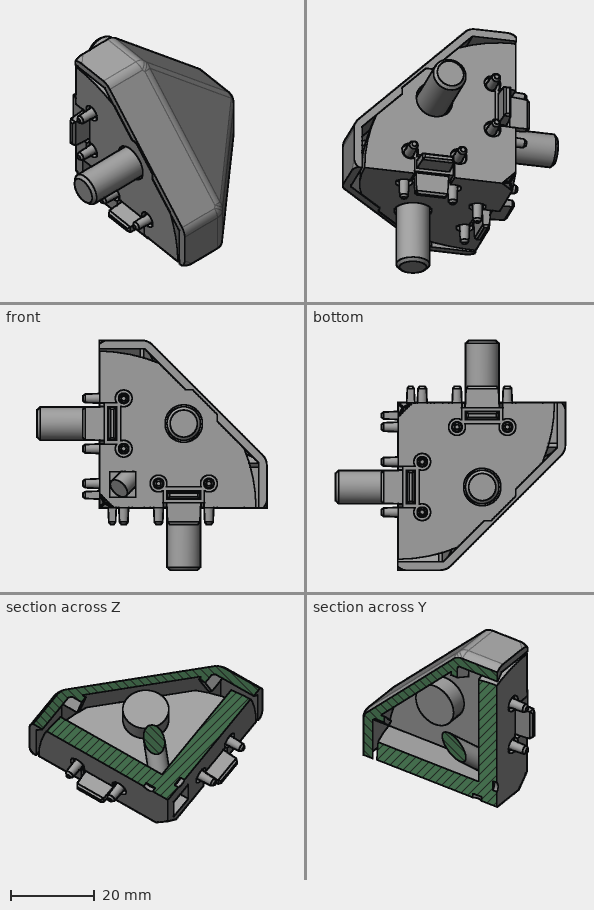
import cadquery as cq
import math

LEG = 40.0
SLOPE_SUM = 51.65
CORNER_SUM = 63.35
CAP_WALL = 2.0
EDGE_RADIUS = 3.4
TIP_RADIUS = 1.9
TIP_REACH = 1.7

BRACKET_WALL = 5.5
FACE_INSET = 0.1
BRACKET_RADIUS = 37.4
CORNER_CUT = 3.7

CORNER_GROOVE_WIDTH = 0.35
CORNER_GROOVE_LENGTH = 2.3
CORNER_GROOVE_DEPTH = 0.15

SHANK_DIAMETER = 8.0
BOLT_CENTRE = 20.15
BOLT_REACH = 14.8
BOLT_CHAMFER = 0.75
HEAD_DIAMETER = 10.95
HEAD_HEIGHT = 4.4
HOLE_DIAMETER = 8.95
PAD_HALF = SHANK_DIAMETER
PAD_SLOPE_SUM = 50.5

LUG_REACH = 3.9
LUG_TIP = 0.6
LUG_DRAFT = 2.5
LUG_TIP_DRAFT = 37
RECESS_DEPTH = 1.25
RECESS_LENGTH = 5.15
RECESS_WIDTH = 9.85
TAB_CENTRE = 3.1
TAB_THICKNESS = 2.1
TAB_WIDTH = 8.05
PEG_CENTRE = 5.85
PEG_SPACING = 12.0
PEG_DIAMETER = 2.45
PEG_RECESS_DIAMETER = 4.0

WINDOW_NEAR = 2.6
WINDOW_FAR = 8.7
PIN_DIAMETER = 5.0
PIN_START = 4.7

RIB_WIDTH = 1.3
RIB_INNER_SUM = 20.45
RIB_BOTTOM = 32.9

FAR = 2 * LEG
PAD_END = BOLT_CENTRE + PAD_HALF


def on_each_axis(shape):
    """The shape and its two copies turned about the space diagonal (X to Y to Z)."""
    return [shape.rotate((0, 0, 0), (1, 1, 1), turn) for turn in (0, 120, 240)]


def cube(low, high):
    """Axis-parallel cube from (low, low, low) to (high, high, high)."""
    size = high - low
    return cq.Workplane("XY").box(size, size, size, centered=False).translate((low, low, low))


def diagonal_plane(distance_sum):
    """Plane x + y + z = distance_sum, facing away from the origin."""
    point = distance_sum / 3
    return cq.Plane(origin=(point, point, point), xDir=(1, -1, 0), normal=(1, 1, 1))


def chamfered_cube(inset, low):
    """Cube with its three outer edges cut by slopes and its outer corner by one triangle.

    Its outer faces lie a constant inset inside the cap's outer faces.
    """
    leg = LEG - inset
    slope_sum = SLOPE_SUM - inset * math.sqrt(2)
    corner_sum = CORNER_SUM - inset * math.sqrt(3)
    setback = slope_sum - leg
    profile = (
        cq.Workplane("XY")
        .workplane(offset=low)
        .polyline([(low, low), (leg, low), (leg, setback), (setback, leg), (low, leg)])
        .close()
        .extrude(leg - low)
    )
    first, second, third = on_each_axis(profile)
    corner = cq.Workplane(diagonal_plane(corner_sum)).rect(2 * FAR, 2 * FAR).extrude(FAR)
    return first.intersect(second).intersect(third).cut(corner)


def bolt_pad():
    """Square pad around the bolt on the z = 0 face, with a sloped corner."""
    setback = PAD_SLOPE_SUM - PAD_END
    return (
        cq.Workplane("XY")
        .polyline([(0, 0), (PAD_END, 0), (PAD_END, setback), (setback, PAD_END), (0, PAD_END)])
        .close()
        .extrude(BRACKET_WALL)
    )


def diagonal_pin():
    """Round pin along the space diagonal, long enough to end inside the cap wall."""
    length = (CORNER_SUM - 3 * PIN_START) / math.sqrt(3) - CAP_WALL / 2
    return cq.Workplane(diagonal_plane(3 * PIN_START)).circle(PIN_DIAMETER / 2).extrude(length)


def cap_outside():
    """Chamfered cube with rounded edges, open on the three bracket faces."""
    core = chamfered_cube(EDGE_RADIUS, -LEG)
    rounded = core.union(core.shell(EDGE_RADIUS, kind="arc"))
    return rounded.intersect(cube(0, FAR))


def tip_rounding():
    """Material removed to round the cap tip on the Z axis."""
    across = cq.Plane(origin=(0, 0, LEG), xDir=(1, 1, 0), normal=(1, -1, 0))
    return (
        cq.Workplane(across)
        .moveTo(-TIP_RADIUS, 0)
        .lineTo(TIP_REACH, 0)
        .radiusArc((TIP_REACH - TIP_RADIUS, -TIP_RADIUS), -TIP_RADIUS)
        .lineTo(-TIP_RADIUS, -TIP_RADIUS)
        .close()
        .extrude(LEG / 4, both=True)
    )


def cap_rib():
    """Upright rib in the x = y plane, where the cap's top meets its two slopes."""
    inner = RIB_INNER_SUM / 2
    plane = cq.Plane(origin=(inner, inner, RIB_BOTTOM), xDir=(1, 1, 0), normal=(0, 0, 1))
    length = EDGE_RADIUS * 2
    height = LEG - CAP_WALL / 2 - RIB_BOTTOM
    rib = cq.Workplane(plane).rect(length, RIB_WIDTH).extrude(height)
    return rib.translate(plane.xDir * (length / 2))


def make_cap():
    """Shell over the bracket, with its ribs and the pin that reaches into the bracket."""
    outside = cap_outside()
    for tip in on_each_axis(tip_rounding()):
        outside = outside.cut(tip)
    cap = outside.cut(chamfered_cube(CAP_WALL, -LEG))
    for pad in on_each_axis(bolt_pad()):
        cap = cap.cut(pad)
    for rib in on_each_axis(cap_rib()):
        cap = cap.union(rib.intersect(outside))
    return cap.union(diagonal_pin())


def bracket_walls():
    """Three walls that meet at the origin, rounded by a sphere, with their bolt pads."""
    outline = chamfered_cube(CAP_WALL, 0)
    body = outline.intersect(cq.Workplane("XY").sphere(BRACKET_RADIUS))
    for pad in on_each_axis(bolt_pad()):
        body = body.union(pad)
    return body.intersect(cube(FACE_INSET, FAR)).cut(cube(BRACKET_WALL, FAR))


def corner_groove():
    """Groove from the middle of the outer corner cut towards its tip on the Z axis."""
    middle = CORNER_CUT / 3
    plane = cq.Plane(origin=(middle, middle, middle), xDir=(-1, -1, 2), normal=(1, 1, 1))
    return (
        cq.Workplane(plane)
        .center(CORNER_GROOVE_LENGTH / 2, 0)
        .rect(CORNER_GROOVE_LENGTH, CORNER_GROOVE_WIDTH)
        .extrude(CORNER_GROOVE_DEPTH)
    )


def lug(outline):
    """Lug drawn as its root outline on the recess floor: a slight draft and a steep tip."""
    shaft = outline.extrude(RECESS_DEPTH + LUG_REACH - LUG_TIP, taper=LUG_DRAFT)
    end = shaft.faces("<Z").wires().toPending().workplane()
    return shaft.union(end.extrude(LUG_TIP, taper=LUG_TIP_DRAFT, combine=False))


def lug_recess(centre_y):
    """Recess on the z = 0 face around one tab and its two pegs, beside the x = 0 edge."""
    floor = (
        cq.Workplane("XY")
        .center(RECESS_LENGTH / 2, centre_y)
        .rect(RECESS_LENGTH, RECESS_WIDTH)
        .extrude(RECESS_DEPTH)
    )
    return floor.union(
        cq.Workplane("XY")
        .pushPoints([(PEG_CENTRE, centre_y + side * PEG_SPACING / 2) for side in (-1, 1)])
        .circle(PEG_RECESS_DIAMETER / 2)
        .extrude(RECESS_DEPTH)
    )


def lugs(centre_y):
    """One tab and its two pegs, from the recess floor outwards."""
    root = cq.Workplane("XY", origin=(0, 0, RECESS_DEPTH)).transformed(rotate=(180, 0, 0))
    shapes = [lug(root.center(TAB_CENTRE, -centre_y).rect(TAB_THICKNESS, TAB_WIDTH))]
    for side in (-1, 1):
        peg_y = centre_y + side * PEG_SPACING / 2
        shapes.append(lug(root.center(PEG_CENTRE, -peg_y).circle(PEG_DIAMETER / 2)))
    return shapes


def mirrored(shape):
    """The shape reflected in the x = y plane."""
    return shape.rotate((0, 0, 0), (0, 0, 1), -90).mirror("XZ")


def make_bracket():
    """Walls with recessed tabs and pegs, bolt holes, corner window and pin hole."""
    bracket = bracket_walls()
    recess = lug_recess(BOLT_CENTRE)
    for cutter in on_each_axis(recess) + on_each_axis(mirrored(recess)):
        bracket = bracket.cut(cutter)
    for shape in lugs(BOLT_CENTRE):
        for copy in on_each_axis(shape) + on_each_axis(mirrored(shape)):
            bracket = bracket.union(copy)
    hole = cq.Workplane("XY").center(BOLT_CENTRE, BOLT_CENTRE).circle(HOLE_DIAMETER / 2)
    for cutter in on_each_axis(hole.extrude(BRACKET_WALL)):
        bracket = bracket.cut(cutter)
    corner = cq.Workplane(diagonal_plane(CORNER_CUT)).rect(FAR, FAR).extrude(-CORNER_CUT)
    pocket = cube(WINDOW_NEAR, WINDOW_FAR)
    window = pocket.union(pocket.translate((0, -WINDOW_NEAR, 0)))
    bracket = bracket.cut(corner).cut(window).cut(diagonal_pin())
    for groove in on_each_axis(corner_groove().mirror(diagonal_plane(CORNER_CUT).zDir, (CORNER_CUT, 0, 0))
                               if False else corner_groove()):
        bracket = bracket.cut(groove)
    return bracket


def make_bolt():
    """Bolt pointing down through the z = 0 wall, its head on the inside of the wall."""
    head = cq.Workplane("XY", origin=(BOLT_CENTRE, BOLT_CENTRE, BRACKET_WALL))
    shank = head.circle(SHANK_DIAMETER / 2).extrude(-BRACKET_WALL - BOLT_REACH)
    shank = shank.faces("<Z").chamfer(BOLT_CHAMFER)
    return shank.union(head.circle(HEAD_DIAMETER / 2).extrude(HEAD_HEIGHT))


bracket = make_bracket()
cap = make_cap()
bolts = on_each_axis(make_bolt())

result = cq.Compound.makeCompound([bracket.val(), cap.val(), *[bolt.val() for bolt in bolts]])